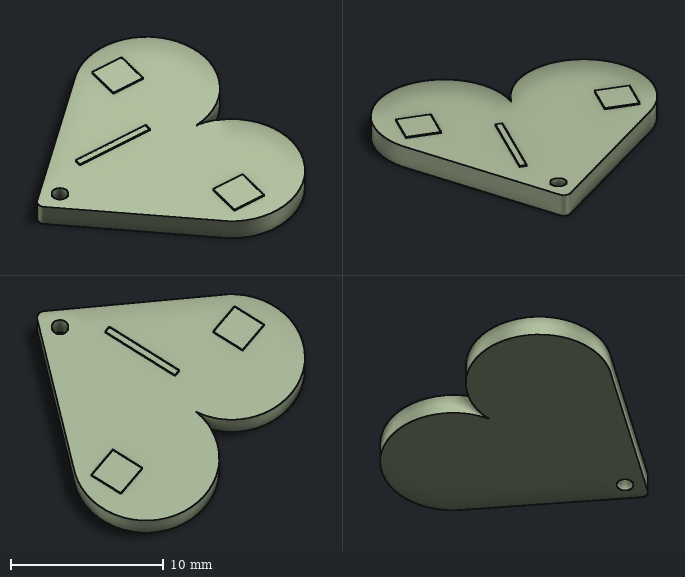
import cadquery as cq
import math

width = 19.17
thickness = 1.57
lobe_radius = 4.81
lobe_x = width / 2 - lobe_radius
lobe_end_x = 8.53
tip_radius = 0.5
tip_y = -11.7

hole_diameter = 1.1
hole_y = -10.45

pad_height = 0.1
square_pad_side = 2.4
square_pad_x = 6.79
square_pad_y = -0.9
bar_width = 0.48
bar_length = 5.67
bar_x = -1.65
bar_y = -4.98


def make_board():
    notch_y = math.sqrt(lobe_radius**2 - lobe_x**2)
    lobe_end_y = -math.sqrt(lobe_radius**2 - (lobe_end_x - lobe_x)**2)

    side_distance = math.hypot(lobe_end_x, lobe_end_y - tip_y)
    lobe_end_angle = math.atan2(lobe_end_y - tip_y, lobe_end_x)
    normal_angle = lobe_end_angle - math.acos(tip_radius / side_distance)
    tip_end_x = tip_radius * math.cos(normal_angle)
    tip_end_y = tip_y + tip_radius * math.sin(normal_angle)

    return (
        cq.Workplane("XY")
        .moveTo(0, notch_y)
        .threePointArc((lobe_x, lobe_radius), (lobe_end_x, lobe_end_y))
        .lineTo(tip_end_x, tip_end_y)
        .threePointArc((0, tip_y - tip_radius), (-tip_end_x, tip_end_y))
        .lineTo(-lobe_end_x, lobe_end_y)
        .threePointArc((-lobe_x, lobe_radius), (0, notch_y))
        .close()
        .extrude(thickness)
        .faces(">Z")
        .workplane(origin=(0, hole_y, thickness))
        .hole(hole_diameter)
    )


def make_pad(size_x, size_y, center_x, center_y):
    return (
        cq.Workplane("XY", origin=(center_x, center_y, thickness))
        .rect(size_x, size_y)
        .extrude(pad_height)
    )


board = make_board()
square_pads = [
    make_pad(square_pad_side, square_pad_side, side * square_pad_x, square_pad_y)
    for side in (-1, 1)
]
bar_pad = make_pad(bar_width, bar_length, bar_x, bar_y)

result = cq.Compound.makeCompound(
    [board.val(), *[pad.val() for pad in square_pads], bar_pad.val()]
)